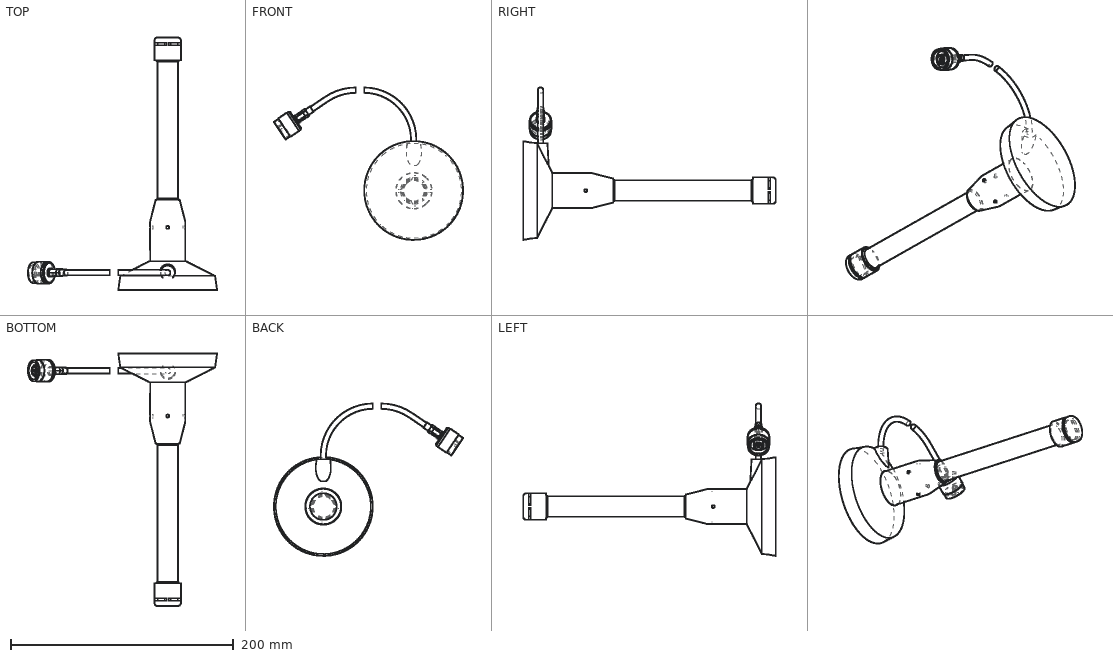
import cadquery as cq
import math


BASE_RADIUS = 44.5
RIM_TOP_RADIUS = 42.7
RIM_HEIGHT = 12.7
CONE_TOP_RADIUS = 16.3
BASE_HEIGHT = 26.0
BOSS_END_Z = 42.7
BOSS_END_RADIUS = 6.4
BOSS_ROOT_Z = 22.7
BOSS_ROOT_RADIUS = 7.5

SLEEVE_RADIUS = 16.0
TAPER_START_Y = 61.5
TAPER_END_Y = 81.0
TAPER_END_RADIUS = 11.0
TAPER_BLEND_RADIUS = 5.7
SLEEVE_BEAD_RADIUS = 10.0
BEAD_HEIGHT = 1.4
SCREW_HOLE_DIAMETER = 2.7
SCREW_HOLE_DEPTH = 2.3
SCREW_HOLE_Y = 56.3
SCREW_HOLE_COUNT = 4

ROD_RADIUS = 9.3
MAST_TOP_Y = 227.0
CAP_RADIUS = 12.0
CAP_BOTTOM_Y = 206.5
CAP_TOP_FILLET = 3.2
CAP_BEAD_RADIUS = 10.5
WINDOW_COUNT = 4
WINDOW_BOTTOM_Y = 220.0
WINDOW_HEIGHT = 2.0
WINDOW_OUTER_HALF_ANGLE = 40.0
WINDOW_INNER_HALF_ANGLE = 29.0

CABLE_RADIUS = 2.5
CABLE_Y = 15.7
CABLE_TOP_Z = 90.1
BASE_CABLE_BEND = 44.5
BREAK_GAP = 7.5
PLUG_CABLE_BEND = 46.8
PLUG_CABLE_STRAIGHT = 16.1
PLUG_ANGLE = 34.0

FRONT_RING_RADIUS = 9.5
FRONT_RING_END = 5.0
BARREL_RADIUS = 10.0
BARREL_END = 14.3
REAR_RING_RADIUS = 9.8
SHELL_END = 17.3
SHELL_CHAMFER = 1.0
COLLAR_RADIUS = 3.9
COLLAR_END = 18.8
CRIMP_CORNER_RADIUS = 3.6
CRIMP_BAND_CORNER_RADIUS = 3.9
CRIMP_BAND_START = 26.3
CRIMP_END = 29.5
FERRULE_RADIUS = 3.0
PLUG_LENGTH = 34.7
SOCKET_RADIUS = 7.7
SOCKET_DEPTH = 5.5
CONTACT_TUBE_RADIUS = 4.3
CONTACT_BORE_RADIUS = 3.2
CONTACT_RECESS = 0.5
PIN_RADIUS = 1.0


def turned(outline):
    """Solid of revolution about the Y axis from (radius, y) points."""
    return cq.Workplane("XY").polyline(outline).close().revolve(360, (0, 0), (0, 1))


def make_base():
    disc = turned([
        (0, 0),
        (BASE_RADIUS, 0),
        (RIM_TOP_RADIUS, RIM_HEIGHT),
        (CONE_TOP_RADIUS, BASE_HEIGHT),
        (0, BASE_HEIGHT),
    ])
    boss = cq.Workplane(cq.Solid.makeCone(
        BOSS_ROOT_RADIUS,
        BOSS_END_RADIUS,
        BOSS_END_Z - BOSS_ROOT_Z,
        pnt=cq.Vector(0, CABLE_Y, BOSS_ROOT_Z),
        dir=cq.Vector(0, 0, 1),
    ))
    return disc.union(boss)


def make_sleeve():
    bead_top = TAPER_END_Y + BEAD_HEIGHT
    sleeve = turned([
        (0, BASE_HEIGHT),
        (SLEEVE_RADIUS, BASE_HEIGHT),
        (SLEEVE_RADIUS, TAPER_START_Y),
        (TAPER_END_RADIUS, TAPER_END_Y),
        (SLEEVE_BEAD_RADIUS, TAPER_END_Y),
        (ROD_RADIUS, bead_top),
        (0, bead_top),
    ])
    margin = 2.3
    taper_edge = cq.selectors.BoxSelector(
        (-2 * SLEEVE_RADIUS, TAPER_START_Y - margin, -2 * SLEEVE_RADIUS),
        (2 * SLEEVE_RADIUS, TAPER_START_Y + margin, 2 * SLEEVE_RADIUS),
        boundingbox=True,
    )
    sleeve = sleeve.edges(taper_edge).fillet(TAPER_BLEND_RADIUS)
    hole = (
        cq.Workplane("XY", origin=(0, SCREW_HOLE_Y, SLEEVE_RADIUS - SCREW_HOLE_DEPTH))
        .circle(SCREW_HOLE_DIAMETER / 2)
        .extrude(2 * SCREW_HOLE_DEPTH)
    )
    for i in range(SCREW_HOLE_COUNT):
        sleeve = sleeve.cut(hole.rotate((0, 0, 0), (0, 1, 0), i * 360 / SCREW_HOLE_COUNT))
    return sleeve


def make_rod():
    bottom = TAPER_END_Y + BEAD_HEIGHT
    top = CAP_BOTTOM_Y - BEAD_HEIGHT
    return turned([(0, bottom), (ROD_RADIUS, bottom), (ROD_RADIUS, top), (0, top)])


def make_cap_window():
    """Wedge that leaves a window floor flush with the rod, narrower inside than outside."""
    def corner(radius, angle):
        return radius * math.cos(math.radians(angle)), radius * math.sin(math.radians(angle))

    return (
        cq.Workplane("XZ", origin=(0, WINDOW_BOTTOM_Y, 0))
        .moveTo(*corner(ROD_RADIUS, -WINDOW_INNER_HALF_ANGLE))
        .threePointArc((ROD_RADIUS, 0), corner(ROD_RADIUS, WINDOW_INNER_HALF_ANGLE))
        .lineTo(*corner(CAP_RADIUS, WINDOW_OUTER_HALF_ANGLE))
        .threePointArc((CAP_RADIUS, 0), corner(CAP_RADIUS, -WINDOW_OUTER_HALF_ANGLE))
        .close()
        .extrude(-WINDOW_HEIGHT)
    )


def make_cap():
    bead_bottom = CAP_BOTTOM_Y - BEAD_HEIGHT
    cap = turned([
        (0, bead_bottom),
        (ROD_RADIUS, bead_bottom),
        (CAP_BEAD_RADIUS, CAP_BOTTOM_Y),
        (CAP_RADIUS, CAP_BOTTOM_Y),
        (CAP_RADIUS, MAST_TOP_Y),
        (0, MAST_TOP_Y),
    ])
    cap = cap.faces(">Y").edges().fillet(CAP_TOP_FILLET)
    window = make_cap_window()
    spacing = 360 / WINDOW_COUNT
    for i in range(WINDOW_COUNT):
        cap = cap.cut(window.rotate((0, 0, 0), (0, 1, 0), (i + 0.5) * spacing))
    return cap


def cable_path(x, z):
    """Path start in the cable plane; local coordinates are (x, z)."""
    return cq.Workplane("XZ", origin=(0, CABLE_Y, 0)).moveTo(x, z)


def make_base_cable():
    bend_start_z = CABLE_TOP_Z - BASE_CABLE_BEND
    path = (
        cable_path(0, BOSS_END_Z)
        .lineTo(0, bend_start_z)
        .tangentArcPoint((-BASE_CABLE_BEND, CABLE_TOP_Z), relative=False)
    )
    return cq.Workplane("XY", origin=(0, CABLE_Y, BOSS_END_Z)).circle(CABLE_RADIUS).sweep(path)


PLUG_TILT = math.radians(PLUG_ANGLE)
PLUG_AXIS = cq.Vector(math.cos(PLUG_TILT), 0, math.sin(PLUG_TILT))
PLUG_CABLE_END = cq.Vector(-BASE_CABLE_BEND - BREAK_GAP, CABLE_Y, CABLE_TOP_Z)
BEND_START = PLUG_CABLE_END - cq.Vector(
    PLUG_CABLE_BEND * math.sin(PLUG_TILT), 0, PLUG_CABLE_BEND * (1 - math.cos(PLUG_TILT))
)
PLUG_REAR = BEND_START - PLUG_AXIS * PLUG_CABLE_STRAIGHT
PLUG_FRONT = PLUG_REAR - PLUG_AXIS * PLUG_LENGTH


def make_plug_cable():
    path = (
        cable_path(PLUG_REAR.x, PLUG_REAR.z)
        .lineTo(BEND_START.x, BEND_START.z)
        .tangentArcPoint((PLUG_CABLE_END.x, PLUG_CABLE_END.z), relative=False)
    )
    start = cq.Plane(origin=PLUG_REAR, xDir=(0, 1, 0), normal=PLUG_AXIS)
    return cq.Workplane(start).circle(CABLE_RADIUS).sweep(path)


def plug_section(position):
    """Workplane across the plug axis at a distance from its front face."""
    centre = PLUG_FRONT + PLUG_AXIS * position
    return cq.Workplane(cq.Plane(origin=centre, xDir=(0, 1, 0), normal=PLUG_AXIS))


def plug_cylinder(radius, start, end):
    return plug_section(start).circle(radius).extrude(end - start)


def make_plug_shell():
    rear_ring = plug_cylinder(REAR_RING_RADIUS, BARREL_END, SHELL_END)
    rear_ring = rear_ring.faces(cq.selectors.DirectionMinMaxSelector(PLUG_AXIS)).chamfer(SHELL_CHAMFER)
    return (
        plug_cylinder(FRONT_RING_RADIUS, 0, FRONT_RING_END)
        .union(plug_cylinder(BARREL_RADIUS, FRONT_RING_END, BARREL_END))
        .union(rear_ring)
    )


def make_plug_contacts():
    """Contact tube and centre pin standing on the socket floor."""
    tube = plug_section(CONTACT_RECESS).circle(CONTACT_TUBE_RADIUS).circle(CONTACT_BORE_RADIUS)
    tube = tube.extrude(SOCKET_DEPTH - CONTACT_RECESS)
    return tube.union(plug_cylinder(PIN_RADIUS, CONTACT_RECESS, SOCKET_DEPTH))


def plug_hexagon(corner_radius, start, end):
    """Hexagonal prism with flats facing +Y and -Y."""
    return (
        plug_section(start)
        .transformed(rotate=(0, 0, 30))
        .polygon(6, 2 * corner_radius)
        .extrude(end - start)
    )


def make_plug_tail():
    """Collar, hexagonal crimp with a slightly larger end band, and round ferrule."""
    return (
        plug_cylinder(COLLAR_RADIUS, SHELL_END, COLLAR_END)
        .union(plug_hexagon(CRIMP_CORNER_RADIUS, COLLAR_END, CRIMP_BAND_START))
        .union(plug_hexagon(CRIMP_BAND_CORNER_RADIUS, CRIMP_BAND_START, CRIMP_END))
        .union(plug_cylinder(FERRULE_RADIUS, CRIMP_END, PLUG_LENGTH))
    )


def make_plug():
    shell = make_plug_shell().cut(plug_cylinder(SOCKET_RADIUS, 0, SOCKET_DEPTH))
    return shell.union(make_plug_contacts()).union(make_plug_tail())


base = make_base()
sleeve = make_sleeve()
rod = make_rod()
cap = make_cap()
base_cable = make_base_cable()
plug_cable = make_plug_cable()
plug = make_plug()

result = cq.Compound.makeCompound([
    base.val(),
    sleeve.val(),
    rod.val(),
    cap.val(),
    base_cable.val(),
    plug_cable.val(),
    plug.val(),
])